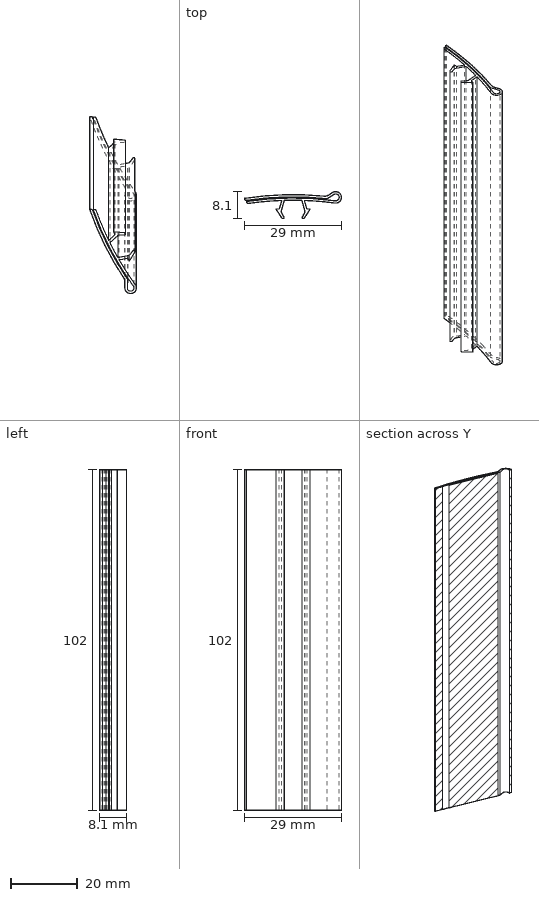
import cadquery as cq
import math

LENGTH = 102.0
HALF_WIDTH = 14.5
DEPTH = 8.1

SHEET = 0.75
GAP = 0.25
STACK = 2 * SHEET + GAP
CREST_RADIUS = 95.0
LOWER_LEAF_SETBACK = 0.6
END_ROUND = 0.5

LOOP_RADIUS = STACK
LOOP_X = HALF_WIDTH - LOOP_RADIUS
NECK_X = 10.0
NECK_ROUND = 2.0

ROOT_INNER_X = 2.5
ROOT_OUTER_X = 3.3
KNEE_X = 3.55
KNEE_Y = -5.15
KNEE_ROUND = 0.8
BARB_TIP_X = 5.05
BARB_TOP_Y = -4.3
BARB_TIP_HEIGHT = 0.2
BARB_BASE_X = 4.15
FOOT_INNER_X = 2.5
FOOT_OUTER_X = 3.3
FOOT_ROUND = 0.3


def bow_height(radius, x):
    """Y of a face of the given radius, concentric with the crest."""
    return math.sqrt(radius**2 - x**2) - CREST_RADIUS


def bow_point(radius, x):
    """Profile point on a bow face."""
    return (x, bow_height(radius, x))


def polar(center, radius, angle):
    """Point at a radius and angle from a centre."""
    return (center[0] + radius * math.cos(angle), center[1] + radius * math.sin(angle))


def line_bow_crossing(radius, start, angle):
    """Point where a line through start at the given angle meets a bow face."""
    along = (math.cos(angle), math.sin(angle))
    from_axis = (start[0], start[1] + CREST_RADIUS)
    projection = along[0] * from_axis[0] + along[1] * from_axis[1]
    excess = from_axis[0] ** 2 + from_axis[1] ** 2 - radius**2
    travel = -projection - math.sqrt(projection**2 - excess)
    return (start[0] + travel * along[0], start[1] + travel * along[1])


def round_edge(body, corner, radius):
    """Fillet the lengthwise edge that runs through the given profile corner."""
    edge_middle = (corner[0], corner[1], LENGTH / 2)
    edge = cq.selectors.NearestToPointSelector(edge_middle)
    return body.edges("|Z").edges(edge).fillet(radius)


def folded_sheet():
    """Upper leaf, loop and lower leaf as one continuous strip."""
    upper_top = CREST_RADIUS
    upper_bottom = upper_top - SHEET
    lower_top = upper_bottom - GAP
    lower_bottom = lower_top - SHEET
    upper_end = -HALF_WIDTH
    lower_end = upper_end + LOWER_LEAF_SETBACK

    center = bow_point(CREST_RADIUS, LOOP_X)
    loop_inner = LOOP_RADIUS - SHEET
    neck = bow_point(upper_top, NECK_X)

    to_center = math.atan2(center[1] - neck[1], center[0] - neck[0])
    neck_length = math.hypot(center[0] - neck[0], center[1] - neck[1])
    neck_angle = to_center + math.asin(LOOP_RADIUS / neck_length)
    tangent_angle = neck_angle + math.pi / 2
    bottom_angle = math.atan2(-center[1] - CREST_RADIUS, -center[0])
    mid_angle = (tangent_angle + bottom_angle) / 2
    inner_tangent = polar(center, loop_inner, tangent_angle)
    inner_neck = line_bow_crossing(upper_bottom, inner_tangent, neck_angle + math.pi)

    strip = (
        cq.Workplane("XY")
        .moveTo(*bow_point(upper_top, upper_end))
        .threePointArc(bow_point(upper_top, 0), neck)
        .lineTo(*polar(center, LOOP_RADIUS, tangent_angle))
        .threePointArc(
            polar(center, LOOP_RADIUS, mid_angle),
            polar(center, LOOP_RADIUS, bottom_angle),
        )
        .threePointArc(bow_point(lower_bottom, 0), bow_point(lower_bottom, lower_end))
        .lineTo(*bow_point(lower_top, lower_end))
        .threePointArc(bow_point(lower_top, 0), polar(center, loop_inner, bottom_angle))
        .threePointArc(polar(center, loop_inner, mid_angle), inner_tangent)
        .lineTo(*inner_neck)
        .threePointArc(bow_point(upper_bottom, 0), bow_point(upper_bottom, upper_end))
        .close()
        .extrude(LENGTH)
    )
    strip = round_edge(strip, neck, NECK_ROUND)
    strip = round_edge(strip, bow_point(upper_bottom, upper_end), END_ROUND)
    return round_edge(strip, bow_point(lower_bottom, lower_end), END_ROUND)


def hook():
    """Snap hook on the +X side: leaning stem, outward barb, foot turned inward."""
    root_y = bow_height(CREST_RADIUS - STACK + SHEET / 2, ROOT_OUTER_X)
    foot_y = bow_height(CREST_RADIUS, LOOP_X) + LOOP_RADIUS - DEPTH
    knee = (KNEE_X, KNEE_Y)
    foot_inner = (FOOT_INNER_X, foot_y)
    foot_outer = (FOOT_OUTER_X, foot_y)
    profile = [
        (ROOT_INNER_X, root_y),
        (ROOT_OUTER_X, root_y),
        (BARB_BASE_X, BARB_TOP_Y),
        (BARB_TIP_X, BARB_TOP_Y),
        (BARB_TIP_X, BARB_TOP_Y - BARB_TIP_HEIGHT),
        foot_outer,
        foot_inner,
        knee,
    ]
    body = cq.Workplane("XY").polyline(profile).close().extrude(LENGTH)
    body = round_edge(body, knee, KNEE_ROUND)
    body = round_edge(body, foot_inner, FOOT_ROUND)
    return round_edge(body, foot_outer, FOOT_ROUND)


right_hook = hook()
left_hook = right_hook.mirror("YZ")
result = folded_sheet().union(right_hook).union(left_hook)